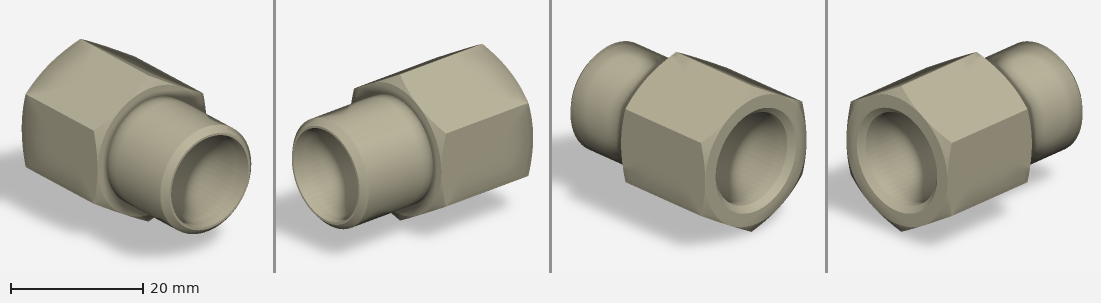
import cadquery as cq
import math

total_length = 32.45
hex_length = 18.47
across_flats = 21.23
spigot_diameter = 17.63
bore_diameter = 14.95
edge_chamfer = 0.97
corner_chamfer_angle = 30.0

flat_radius = across_flats / 2
across_corners = across_flats / math.cos(math.pi / 6)
corner_radius = across_corners / 2
corner_chamfer_depth = (corner_radius - flat_radius) * math.tan(math.radians(corner_chamfer_angle))
spigot_radius = spigot_diameter / 2
bore_radius = bore_diameter / 2


def revolve_about_x(points):
    """Revolve a closed (x, radius) outline about the X axis."""
    return cq.Workplane("XY").polyline(points).close().revolve(360, (0, 0), (1, 0))


def make_hex_body():
    """Hexagon with corners up and down, its corners turned off conically at both ends."""
    prism = (
        cq.Workplane("YZ")
        .polygon(6, across_corners)
        .extrude(hex_length)
        .rotate((0, 0, 0), (1, 0, 0), 30)
    )
    turned_envelope = revolve_about_x([
        (0, 0),
        (0, flat_radius),
        (corner_chamfer_depth, corner_radius),
        (hex_length - corner_chamfer_depth, corner_radius),
        (hex_length, flat_radius),
        (hex_length, 0),
    ])
    return prism.intersect(turned_envelope)


def make_spigot():
    """Round spigot with a chamfered free end."""
    return (
        cq.Workplane("YZ", origin=(hex_length, 0, 0))
        .circle(spigot_radius)
        .extrude(total_length - hex_length)
        .faces(">X")
        .chamfer(edge_chamfer)
    )


def make_bore():
    """Through bore, countersunk at the hexagon end."""
    return revolve_about_x([
        (0, 0),
        (0, bore_radius + edge_chamfer),
        (edge_chamfer, bore_radius),
        (total_length, bore_radius),
        (total_length, 0),
    ])


result = make_hex_body().union(make_spigot()).cut(make_bore())